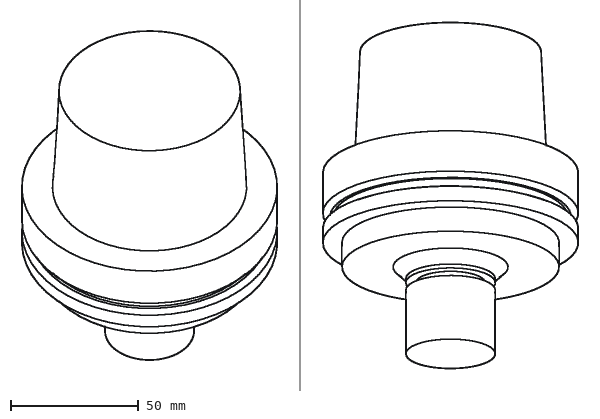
import cadquery as cq

FLANGE_DIAMETER = 100.0
GROOVE_FLOOR_DIAMETER = 92.0
GROOVE_EDGE_DIAMETER = 94.5
BOSS_DIAMETER = 85.0
CONE_TOP_DIAMETER = 45.0
STEM_DIAMETER = 35.0
NECK_DIAMETER = 27.0

TAPER_RATIO = 0.1
TAPER_TOP_DIAMETER = 71.0

TAPER_HEIGHT = 50.0
UPPER_RIM_HEIGHT = 16.8
UPPER_BEVEL_HEIGHT = 1.6
GROOVE_FLOOR_HEIGHT = 3.5
LOWER_BEVEL_HEIGHT = 1.1
LOWER_RIM_HEIGHT = 6.0
BOSS_HEIGHT = 10.0
CONE_HEIGHT = 4.9
COLLAR_HEIGHT = 1.6
NECK_HEIGHT = 3.1
OVERALL_HEIGHT = 125.0

upper_bevel_top = -UPPER_RIM_HEIGHT
groove_top = upper_bevel_top - UPPER_BEVEL_HEIGHT
groove_bottom = groove_top - GROOVE_FLOOR_HEIGHT
lower_bevel_bottom = groove_bottom - LOWER_BEVEL_HEIGHT
flange_bottom = lower_bevel_bottom - LOWER_RIM_HEIGHT
boss_bottom = flange_bottom - BOSS_HEIGHT
cone_bottom = boss_bottom - CONE_HEIGHT
collar_bottom = cone_bottom - COLLAR_HEIGHT
neck_bottom = collar_bottom - NECK_HEIGHT
tool_bottom = TAPER_HEIGHT - OVERALL_HEIGHT


def revolve_profile(outline):
    """Revolve (diameter, height) points about Z, closing the profile along the axis."""
    points = [(0, outline[0][1])]
    points += [(diameter / 2, height) for diameter, height in outline]
    points.append((0, outline[-1][1]))
    return cq.Workplane("XZ").polyline(points).close().revolve(360, (0, 0), (0, 1))


def make_holder():
    """Tapered shank, grooved flange, boss and conical nose ending in a short collar."""
    taper_base_diameter = TAPER_TOP_DIAMETER + TAPER_RATIO * TAPER_HEIGHT
    return revolve_profile([
        (TAPER_TOP_DIAMETER, TAPER_HEIGHT),
        (taper_base_diameter, 0),
        (FLANGE_DIAMETER, 0),
        (FLANGE_DIAMETER, upper_bevel_top),
        (GROOVE_EDGE_DIAMETER, groove_top),
        (GROOVE_FLOOR_DIAMETER, groove_top),
        (GROOVE_FLOOR_DIAMETER, groove_bottom),
        (GROOVE_EDGE_DIAMETER, groove_bottom),
        (FLANGE_DIAMETER, lower_bevel_bottom),
        (FLANGE_DIAMETER, flange_bottom),
        (BOSS_DIAMETER, flange_bottom),
        (BOSS_DIAMETER, boss_bottom),
        (CONE_TOP_DIAMETER, boss_bottom),
        (STEM_DIAMETER, cone_bottom),
        (STEM_DIAMETER, collar_bottom),
    ])


def make_tool():
    """Cylindrical tool whose narrower neck butts against the holder's collar."""
    return revolve_profile([
        (NECK_DIAMETER, collar_bottom),
        (NECK_DIAMETER, neck_bottom),
        (STEM_DIAMETER, neck_bottom),
        (STEM_DIAMETER, tool_bottom),
    ])


holder = make_holder()
tool = make_tool()

result = cq.Compound.makeCompound([holder.val(), tool.val()])